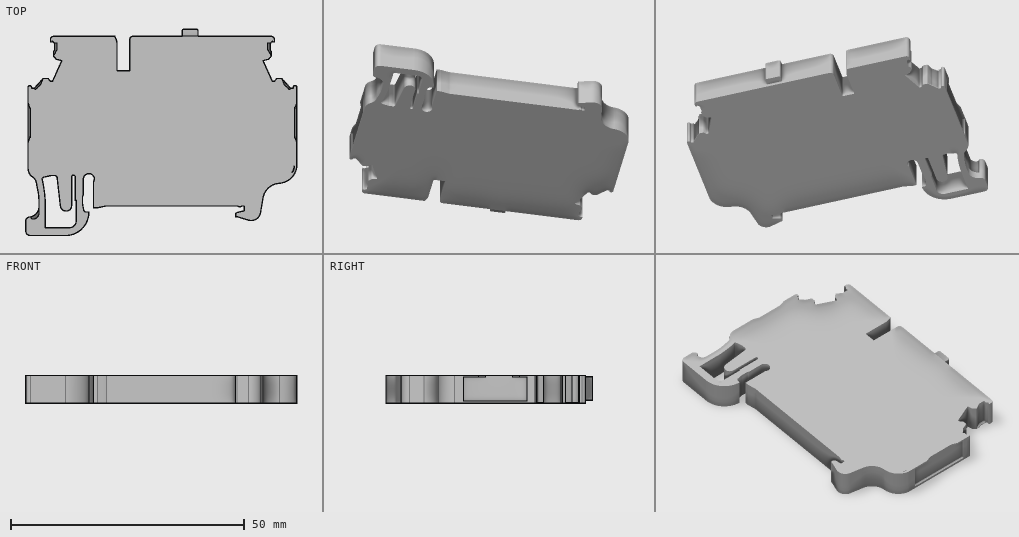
import cadquery as cq
import math


overall_width = 58.05
thickness = 6.0
foot_overhang = 0.5
half_width = (overall_width - foot_overhang) / 2
foot_left = -half_width - foot_overhang
foot_bottom = -6.35
body_top = 36.35
overall_depth = 44.2
tab_top = foot_bottom + overall_depth
through_margin = 1.0

lip_reach = 24.0
lip_bottom = 35.1
lip_corner_radius = 0.75
lip_underside = 23.6
lip_groove_top = 35.3
neck_reach = 23.1
neck_top = 34.85
neck_bottom = 33.35
rib_reach = 23.33
rib_top = 33.05
rib_bottom = 32.1
rib_foot = (22.74, 31.4)
notch_corner = (21.56, 31.1)
notch_foot = (23.52, 26.75)
ledge_step_start = (23.98, 26.75)
ledge_step_end = (24.5, 27.35)
ledge_outer = (25.5, 27.35)
ramp_bottom = (27.4, 25.25)
side_bead_root = (27.95, 25.25)
side_bead_height = 25.8
side_bead_radius = 0.4

floor_thickness = 0.2
neck_pocket_reach = 22.53
neck_pocket_bottom = 33.5
ramp_pocket_inner = [(26.11, 25.95), (27.2, 24.9)]

slot_left = -9.69
slot_right = -7.03
slot_floor = 29.0
slot_left_mouth = (-10.2, body_top)
slot_left_mouth_bottom = 34.9
slot_left_mouth_bulge = (-9.95, 35.85)
slot_mouth_radius = 0.75

tab_left = 4.24
tab_width = 3.4
tab_z_bottom = 0.68
tab_z_top = 5.75
tab_corner_radius = 0.35
tab_recess_z = (1.56, 4.84)
tab_recess_top = 36.65
tab_recess_depth = 0.3

label_depth = 0.5
label_y = (10.2, 23.85)
label_z = (0.55, 5.65)
label_gap_mouth = (13.5, 22.2)
label_gap_root = (14.95, 20.75)

shoulder_top = (-half_width, 7.94)
shoulder_bulge = (-28.42, 6.85)
shoulder_end = (-27.7, 6.15)
arm_bend_bulge = (-27.25, 5.65)
arm_bend_end = (-26.96, 4.8)
arm_curve_start = (-26.56, 2.66)
arm_curve_bulge = (-26.48, 1.85)
arm_straight_x = -26.45
arm_straight_top = 1.0
arm_straight_bottom = -1.8
arm_fillet_bulge = (-26.9, -2.5)
arm_fillet_end = (-27.85, -2.8)
foot_shoulder = (-28.3, -2.31)
foot_top_drop = 0.8
foot_top_arc_radius = 0.96
foot_corner_radius = 1.08
foot_sweep_radius = 5.08
foot_sweep_x = -20.79
catch_top = foot_bottom + foot_sweep_radius

web_height = 1.79
web_top = -0.3
web_bulge = (-27.12, -1.72)

catch_fillet_start = (-16.35, catch_top)
catch_fillet_bulge = (-16.7, -1.1)
catch_fillet_end = (-16.85, -0.69)
catch_lean_x = -17.08
catch_lean_y = (0.49, 2.1)
catch_lean_end_y = 2.4
rail_slot_left = -16.9
rail_slot_radius = 1.17
rail_slot_center_y = 5.75
rail_slot_undercut = 5.1
rail_slot_right = -14.8
seat_lip_bottom = -0.4
seat_lip_end = -13.93
seat_start = -11.97

seat_bead_left = 16.15
seat_bead_right = 16.95
seat_bead_height = 0.15
seat_bead_flank = 0.2
hook_throat_x = 17.5
hook_throat_bottom = -1.0
hook_tip_top = (15.95, -1.36)
hook_tip_x = 15.69
hook_tip_upper = -1.6
hook_tip_lower = -2.31
hook_tip_chamfer = (16.0, -2.31)
hook_nose_start = (18.43, -3.04)
hook_nose_bulge = (20.25, -2.7)
hook_nose_end = (21.03, -1.36)
hook_neck = (21.55, 1.75)
hook_concave_end = (25.08, 4.85)
corner_bulge = (27.72, 6.15)
corner_end = (half_width, 8.35)

mark_top = (28.2, 8.55)
mark_outer_bulge = (28.15, 7.8)
mark_inner_bulge = (28.02, 7.8)
mark_bottom = (27.7, 7.2)
mark_depth = 0.2

window_top_left = (-25.74, 5.9)
window_top_corner = (-25.4, 6.15)
window_top_right = (-23.9, 6.5)
window_roof_end = (-23.05, 6.5)
window_roof_bulge = (-22.68, 6.35)
tongue_left_top = (-22.55, 6.0)
tongue_left_bottom = (-21.87, 0.1)
tongue_left_bulge = (-21.6, -0.6)
tongue_flat_start = (-21.1, -1.0)
tongue_flat_end = (-20.65, -1.09)
tongue_right_bulge = (-19.75, -0.75)
tongue_right_x = -19.4
tongue_right_bottom = 0.1
gap_top = 6.25
gap_right_x = -18.68
gap_step_bottom = 1.2
window_right_x = -18.48
window_bottom = -4.6
window_corner_radius = 1.4
window_left_bottom_x = -25.03
window_left_bend = (-25.06, 1.3)
window_left_bulge = (-25.31, 3.65)


def extrude(outline, z_start, z_end):
    """Turn a closed XY outline into a solid between two Z levels."""
    return outline.extrude(z_end - z_start).translate((0, 0, z_start))


def block(x_range, y_range, z_range):
    """Axis-aligned box given by its (low, high) limits."""
    return cq.Workplane("XY").box(
        x_range[1] - x_range[0],
        y_range[1] - y_range[0],
        z_range[1] - z_range[0],
        centered=False,
    ).translate((x_range[0], y_range[0], z_range[0]))


def cut_both_sides(body, cutter):
    """Cut a right-hand feature and its mirror image about X = 0."""
    return body.cut(cutter).cut(cutter.mirror("YZ"))


def trace_arm_and_foot(wire):
    """From the left shoulder down the arm, around the foot to its catch."""
    sweep_offset = foot_sweep_radius * math.sqrt(0.5)
    return (
        wire.threePointArc(shoulder_bulge, shoulder_end)
        .threePointArc(arm_bend_bulge, arm_bend_end)
        .lineTo(*arm_curve_start)
        .threePointArc(arm_curve_bulge, (arm_straight_x, arm_straight_top))
        .lineTo(arm_straight_x, arm_straight_bottom)
        .threePointArc(arm_fillet_bulge, arm_fillet_end)
        .lineTo(*foot_shoulder)
        .radiusArc((foot_left, foot_shoulder[1] - foot_top_drop), -foot_top_arc_radius)
        .lineTo(foot_left, foot_bottom + foot_corner_radius)
        .radiusArc((foot_left + foot_corner_radius, foot_bottom), -foot_corner_radius)
        .lineTo(foot_sweep_x, foot_bottom)
        .threePointArc(
            (foot_sweep_x + sweep_offset, catch_top - sweep_offset),
            (foot_sweep_x + foot_sweep_radius, catch_top),
        )
    )


def trace_rail_slot(wire):
    """From the foot catch up and around the rail slot to the rail seat."""
    slot_right = rail_slot_left + 2 * rail_slot_radius
    return (
        wire.lineTo(*catch_fillet_start)
        .threePointArc(catch_fillet_bulge, catch_fillet_end)
        .lineTo(catch_lean_x, catch_lean_y[0])
        .lineTo(catch_lean_x, catch_lean_y[1])
        .lineTo(rail_slot_left, catch_lean_end_y)
        .lineTo(rail_slot_left, rail_slot_center_y)
        .threePointArc(
            (rail_slot_left + rail_slot_radius, rail_slot_center_y + rail_slot_radius),
            (slot_right, rail_slot_center_y),
        )
        .lineTo(rail_slot_right, rail_slot_undercut)
        .lineTo(rail_slot_right, seat_lip_bottom)
        .lineTo(seat_lip_end, seat_lip_bottom)
        .lineTo(seat_start, 0)
    )


def trace_hook(wire):
    """Along the rail seat, around the hook and up to the right side wall."""
    return (
        wire.lineTo(seat_bead_left, 0)
        .lineTo(seat_bead_left + seat_bead_flank, -seat_bead_height)
        .lineTo(seat_bead_right - seat_bead_flank, -seat_bead_height)
        .lineTo(seat_bead_right, 0)
        .lineTo(hook_throat_x, 0)
        .lineTo(hook_throat_x, hook_throat_bottom)
        .lineTo(*hook_tip_top)
        .lineTo(hook_tip_x, hook_tip_upper)
        .lineTo(hook_tip_x, hook_tip_lower)
        .lineTo(*hook_tip_chamfer)
        .lineTo(*hook_nose_start)
        .threePointArc(hook_nose_bulge, hook_nose_end)
        .lineTo(*hook_neck)
        .tangentArcPoint(hook_concave_end, relative=False)
        .threePointArc(corner_bulge, corner_end)
    )


def plate():
    """Housing outline with square upper corners."""
    wire = cq.Workplane("XY").moveTo(*shoulder_top)
    wire = trace_arm_and_foot(wire)
    wire = trace_rail_slot(wire)
    wire = trace_hook(wire)
    outline = wire.lineTo(half_width, body_top).lineTo(-half_width, body_top).close()
    return extrude(outline, 0, thickness)


def corner_cutter():
    """Everything outside the stepped right-hand upper corner."""
    outer = half_width + through_margin
    above = body_top + through_margin
    bead_center_y = side_bead_height - side_bead_radius
    outline = (
        cq.Workplane("XY")
        .moveTo(lip_reach - lip_corner_radius, above)
        .lineTo(lip_reach - lip_corner_radius, body_top)
        .radiusArc((lip_reach, body_top - lip_corner_radius), lip_corner_radius)
        .lineTo(lip_reach, lip_bottom)
        .lineTo(lip_underside, lip_bottom)
        .lineTo(lip_underside, lip_groove_top)
        .lineTo(neck_reach, neck_top)
        .lineTo(neck_reach, neck_bottom)
        .lineTo(rib_reach, rib_top)
        .lineTo(rib_reach, rib_bottom)
        .lineTo(*rib_foot)
        .lineTo(*notch_corner)
        .lineTo(*notch_foot)
        .lineTo(*ledge_step_start)
        .lineTo(*ledge_step_end)
        .lineTo(*ledge_outer)
        .lineTo(*ramp_bottom)
        .lineTo(*side_bead_root)
        .lineTo(half_width - 2 * side_bead_radius, bead_center_y)
        .threePointArc(
            (half_width - side_bead_radius, side_bead_height),
            (half_width, bead_center_y),
        )
        .lineTo(outer, bead_center_y)
        .lineTo(outer, above)
        .close()
    )
    return extrude(outline, 0, thickness)


def floor_pocket_cutters():
    """Pockets behind the neck and the ramp, open outwards and to the top."""
    neck = cq.Workplane("XY").polyline([
        (neck_reach, neck_top),
        (neck_pocket_reach, neck_top),
        (neck_pocket_reach, neck_pocket_bottom),
        (rib_reach, rib_bottom),
        (rib_reach, rib_top),
        (neck_reach, neck_bottom),
    ]).close()
    ramp = cq.Workplane("XY").polyline([ledge_outer, *ramp_pocket_inner, ramp_bottom]).close()
    return [extrude(outline, floor_thickness, thickness) for outline in (neck, ramp)]


def top_slot_cutter():
    """Straight slot in the upper edge with rounded mouth corners."""
    above = body_top + through_margin
    outline = (
        cq.Workplane("XY")
        .moveTo(slot_left, slot_floor)
        .lineTo(slot_left, slot_left_mouth_bottom)
        .threePointArc(slot_left_mouth_bulge, slot_left_mouth)
        .lineTo(slot_left_mouth[0], above)
        .lineTo(slot_right + slot_mouth_radius, above)
        .lineTo(slot_right + slot_mouth_radius, body_top)
        .radiusArc((slot_right, body_top - slot_mouth_radius), -slot_mouth_radius)
        .lineTo(slot_right, slot_floor)
        .close()
    )
    return extrude(outline, 0, thickness)


def window_cutter():
    """Window behind the foot; the tongue hangs into it from above."""
    gap_center_x = (tongue_right_x + gap_right_x) / 2
    gap_radius = (gap_right_x - tongue_right_x) / 2
    outline = (
        cq.Workplane("XY")
        .moveTo(*window_top_left)
        .lineTo(*window_top_corner)
        .lineTo(*window_top_right)
        .lineTo(*window_roof_end)
        .threePointArc(window_roof_bulge, tongue_left_top)
        .lineTo(*tongue_left_bottom)
        .threePointArc(tongue_left_bulge, tongue_flat_start)
        .lineTo(*tongue_flat_end)
        .threePointArc(tongue_right_bulge, (tongue_right_x, tongue_right_bottom))
        .lineTo(tongue_right_x, gap_top)
        .threePointArc((gap_center_x, gap_top + gap_radius), (gap_right_x, gap_top))
        .lineTo(gap_right_x, gap_step_bottom)
        .lineTo(window_right_x, gap_step_bottom)
        .lineTo(window_right_x, window_bottom + window_corner_radius)
        .radiusArc((window_right_x - window_corner_radius, window_bottom), window_corner_radius)
        .lineTo(window_left_bottom_x, window_bottom)
        .lineTo(*window_left_bend)
        .threePointArc(window_left_bulge, window_top_left)
        .close()
    )
    return extrude(outline, 0, thickness)


def arm_web():
    """Low web in the fillet between arm and foot."""
    outline = (
        cq.Workplane("XY")
        .moveTo(arm_straight_x, web_top)
        .threePointArc(web_bulge, foot_shoulder)
        .lineTo(*arm_fillet_end)
        .threePointArc(arm_fillet_bulge, (arm_straight_x, arm_straight_bottom))
        .close()
    )
    return extrude(outline, 0, web_height)


def corner_mark_cutter():
    """Shallow crescent groove just inside the right lower corner."""
    outline = (
        cq.Workplane("XY")
        .moveTo(*mark_top)
        .threePointArc(mark_outer_bulge, mark_bottom)
        .threePointArc(mark_inner_bulge, mark_top)
        .close()
    )
    return extrude(outline, thickness - mark_depth, thickness)


def tab():
    """Rounded tab on the upper edge with a shallow recess in its left face."""
    body = block(
        (tab_left, tab_left + tab_width), (body_top, tab_top), (tab_z_bottom, tab_z_top)
    )
    body = body.edges("|Z and >Y").fillet(tab_corner_radius)
    recess = block(
        (tab_left, tab_left + tab_recess_depth), (body_top, tab_recess_top), tab_recess_z
    )
    return body.cut(recess)


def label_cutter():
    """Shallow label recess in the right wall, opening to the top mid-length."""
    floor_x = half_width - label_depth
    recess = block((floor_x, half_width), label_y, label_z)
    gap = cq.Workplane("XY").polyline([
        (half_width, label_gap_mouth[0]),
        (floor_x, label_gap_root[0]),
        (floor_x, label_gap_root[1]),
        (half_width, label_gap_mouth[1]),
    ]).close()
    return recess.union(extrude(gap, label_z[0], thickness))


result = plate()
result = cut_both_sides(result, corner_cutter())
for pocket in floor_pocket_cutters():
    result = cut_both_sides(result, pocket)
result = cut_both_sides(result, label_cutter())
result = result.cut(top_slot_cutter())
result = result.cut(window_cutter())
result = result.cut(corner_mark_cutter())
result = result.union(arm_web())
result = result.union(tab())